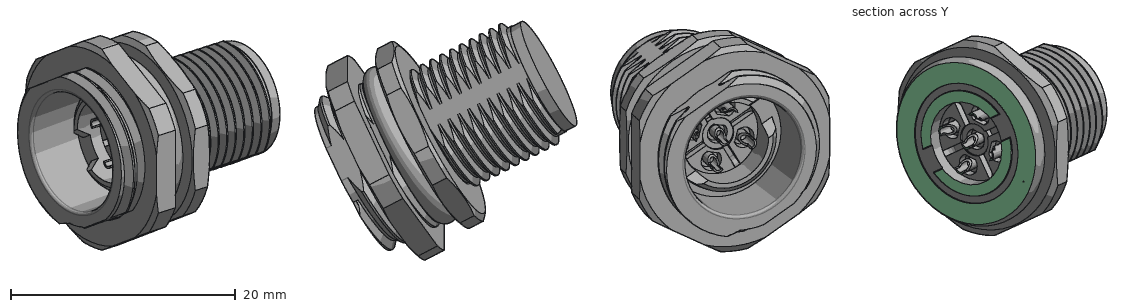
import cadquery as cq
import math


LENGTH = 20.0
NUT_START = 2.3
NUT_END = 4.5
SEAL_START = 5.0
SEAL_END = 7.0
FLANGE_END = 9.0
COLLAR_START = 19.0

REAR_ROOT_RADIUS = 6.88
REAR_CREST_RADIUS = 7.5
REAR_PITCH = 1.5
REAR_CREST_WIDTH = 0.2
REAR_ROOT_WIDTH = 0.25
REAR_CREST_STATION = 0.98
REAR_START_TURN = -1 + 92.3 / 360
REAR_END_TURN = 3.4
REAR_FLAT_DISTANCE = 6.68

FRONT_ROOT_RADIUS = 5.3
FRONT_CREST_RADIUS = 5.95
FRONT_PITCH = 1.0
FRONT_CREST_WIDTH = 0.15
FRONT_ROOT_WIDTH = 0.2
FRONT_CREST_STATION = 8.22
FRONT_START_TURN = 0
FRONT_END_TURN = 10 + 143.6 / 360
FRONT_FLAT_DISTANCE = 5.25
COLLAR_RADIUS = 5.25

FLAT_ANGLE = 120.0
THREAD_OVERLAP = 0.1
FLANK_OVERLAP = 0.02
THREAD_END_LEAN = 10.0
THREAD_END_TRIM = 0.92

NUT_ACROSS_FLATS = 18.0
NUT_CORNER_RADIUS = 9.75
NUT_FACE_RADIUS = 9.18
NUT_CHAMFER_DEPTH = 0.22
NUT_BORE_RADIUS = 6.85
FLANGE_ACROSS_FLATS = 17.0
FLANGE_CORNER_RADIUS = 9.0
FLANGE_FACE_RADIUS = 8.4
FLANGE_CHAMFER_DEPTH = 0.28

SEAL_SECTION_RADIUS = (SEAL_END - SEAL_START) / 2
SEAL_OUTER_RADIUS = 7.75

BORE_RADIUS = 5.52
BORE_EDGE_FILLET = 0.28
BORE_DEPTH = 5.4

RING_START = 4.0
RING_FACE_RADIUS = 4.25
RING_SHOULDER_RADIUS = 4.68
RING_SHOULDER_DEPTH = 0.32
RING_FOOT_RADIUS = 4.88
WELL_MOUTH_RADIUS = 3.82
WELL_FLOOR_RADIUS = 3.75
WELL_FLOOR = 6.6

NOTCH_ANGLE = 30.0
NOTCH_FLOOR_HALF_WIDTH = 1.1
NOTCH_WALL_DRAFT = 30.0

GROOVE_ANGLE = 30.0
GROOVE_COUNT = 4
GROOVE_WIDTH = 0.55
GROOVE_DEPTH = 0.75
RECESS_RADIUS = 1.48
RECESS_DEPTH = 0.2

CONTACT_CIRCLE_RADIUS = 2.52
CONTACT_ANGLES = (165.0, 75.0, -15.0, -105.0)
CENTRE_CONTACT_ANGLE = -105.0
CONTACT_RADIUS = 0.55
CONTACT_TIP = 4.8
CUP_RADIUS = 0.35
CUP_DEPTH = 2.2
CUP_POINT_ANGLE = 118.0
CUT_OFFSET = 0.18
CUT_LENGTH = 1.0
CUT_ANGLE = 50.0
POCKET_MOUTH_RADIUS = 0.95
POCKET_FLAT_DISTANCE = 0.75
POCKET_DEPTH = 0.8
POCKET_DRAFT = 6.0


def turned(profile):
    """Solid of revolution about Y from (radius, y) points."""
    return cq.Workplane("XY").polyline(profile).close().revolve(360, (0, 0, 0), (0, 1, 0))


def cylinder(radius, start, end):
    return turned([(0, start), (radius, start), (radius, end), (0, end)])


def block(along, across, start, end, centre):
    """Box centred at `centre` along X, symmetric across Z, between two Y stations."""
    return cq.Workplane("XY").box(along, end - start, across).translate((centre, (start + end) / 2, 0))


def turn_to(shape, angle):
    """Turn a shape about Y so that its +X side points at `angle`, from +X towards +Z."""
    return shape.rotate((0, 0, 0), (0, 1, 0), -angle)


def hexagon(across_flats, start, end):
    corner_diameter = across_flats / math.cos(math.radians(30))
    prism = cq.Workplane("XZ", origin=(0, start, 0)).polygon(6, corner_diameter).extrude(start - end)
    return turn_to(prism, 30)


def lean_back(root, crest, side):
    """Prism that trims a ridge end at angle 0 so that its tip falls short of its foot.

    `side` is the direction, +1 or -1 along Z, in which the ridge lies.
    """
    lean = math.radians(THREAD_END_LEAN)
    rise = crest * math.cos(lean) - root
    run = crest * math.sin(lean)
    overshoot = 1.5
    outer = root + overshoot * rise
    return (
        cq.Workplane("XZ")
        .polyline([
            (root, 0),
            (outer, side * overshoot * run),
            (outer + rise, 0),
            (outer, -side * rise),
        ])
        .close()
        .extrude(THREAD_END_TRIM / 2, both=True)
    )


def threaded_length(root, crest, pitch, crest_width, root_width,
                    crest_station, start_turn, end_turn, flat_distance, start, end):
    """Right-handed thread on a core, with two opposite flats, trimmed to `start`..`end`.

    The ridge runs between two turns counted from the crest at Y = `crest_station` on the +X side.
    """
    base_radius = flat_distance - THREAD_OVERLAP
    foot_radius = root - FLANK_OVERLAP
    crest_half = crest_width / 2
    flank_slope = (pitch - crest_width - root_width) / 2 / (crest - root)
    foot_half = crest_half + flank_slope * (crest - foot_radius)
    turns = end_turn - start_turn
    helix = cq.Wire.makeHelix(pitch, pitch * turns, root)
    ridge = (
        cq.Workplane("XZ")
        .polyline([
            (base_radius, -foot_half),
            (foot_radius, -foot_half),
            (crest, -crest_half),
            (crest, crest_half),
            (foot_radius, foot_half),
            (base_radius, foot_half),
        ])
        .close()
        .sweep(cq.Workplane(obj=helix), isFrenet=True)
        .rotate((0, 0, 0), (1, 0, 0), -90)
    )
    end_trim = turn_to(lean_back(root, crest, 1), -360 * turns).translate((0, pitch * turns, 0))
    ridge = ridge.cut(lean_back(root, crest, -1)).cut(end_trim)
    ridge = turn_to(ridge, -360 * start_turn).translate((0, crest_station + pitch * start_turn, 0))

    flat_sided = block(2 * flat_distance, 3 * crest, start, end, 0)
    core = turn_to(cylinder(root, start, end).intersect(flat_sided), FLAT_ANGLE)
    return core.union(ridge.intersect(turn_to(flat_sided, FLAT_ANGLE)))


def rear_thread():
    return threaded_length(
        REAR_ROOT_RADIUS, REAR_CREST_RADIUS, REAR_PITCH, REAR_CREST_WIDTH, REAR_ROOT_WIDTH,
        REAR_CREST_STATION, REAR_START_TURN, REAR_END_TURN,
        REAR_FLAT_DISTANCE, 0, SEAL_START,
    )


def front_thread():
    return threaded_length(
        FRONT_ROOT_RADIUS, FRONT_CREST_RADIUS, FRONT_PITCH, FRONT_CREST_WIDTH, FRONT_ROOT_WIDTH,
        FRONT_CREST_STATION, FRONT_START_TURN, FRONT_END_TURN,
        FRONT_FLAT_DISTANCE, SEAL_END, COLLAR_START,
    )


def nut():
    rounding = turned([
        (0, NUT_START),
        (NUT_FACE_RADIUS, NUT_START),
        (NUT_CORNER_RADIUS, NUT_START + NUT_CHAMFER_DEPTH),
        (NUT_CORNER_RADIUS, NUT_END),
        (0, NUT_END),
    ])
    body = hexagon(NUT_ACROSS_FLATS, NUT_START, NUT_END).intersect(rounding)
    return body.cut(cylinder(NUT_BORE_RADIUS, NUT_START, NUT_END))


def flange():
    rounding = turned([
        (0, SEAL_END),
        (FLANGE_FACE_RADIUS, SEAL_END),
        (FLANGE_CORNER_RADIUS, SEAL_END + FLANGE_CHAMFER_DEPTH),
        (FLANGE_CORNER_RADIUS, FLANGE_END - FLANGE_CHAMFER_DEPTH),
        (FLANGE_FACE_RADIUS, FLANGE_END),
        (0, FLANGE_END),
    ])
    return hexagon(FLANGE_ACROSS_FLATS, SEAL_END, FLANGE_END).intersect(rounding)


def seal():
    section_centre = SEAL_OUTER_RADIUS - SEAL_SECTION_RADIUS
    return (
        cq.Workplane("XY")
        .moveTo(0, SEAL_START)
        .lineTo(section_centre, SEAL_START)
        .threePointArc((SEAL_OUTER_RADIUS, (SEAL_START + SEAL_END) / 2), (section_centre, SEAL_END))
        .lineTo(0, SEAL_END)
        .close()
        .revolve(360, (0, 0, 0), (0, 1, 0))
    )


def bore():
    """Rear bore with a rounded mouth."""
    mouth_radius = BORE_RADIUS + BORE_EDGE_FILLET
    bend = BORE_EDGE_FILLET * (1 - math.sqrt(0.5))
    return (
        cq.Workplane("XY")
        .lineTo(mouth_radius, 0)
        .threePointArc((BORE_RADIUS + bend, bend), (BORE_RADIUS, BORE_EDGE_FILLET))
        .lineTo(BORE_RADIUS, BORE_DEPTH)
        .lineTo(0, BORE_DEPTH)
        .close()
        .revolve(360, (0, 0, 0), (0, 1, 0))
    )


def insulator_ring():
    ring = turned([
        (0, RING_START),
        (RING_FACE_RADIUS, RING_START),
        (RING_SHOULDER_RADIUS, RING_START + RING_SHOULDER_DEPTH),
        (RING_FOOT_RADIUS, BORE_DEPTH),
        (0, BORE_DEPTH),
    ])
    ring_height = BORE_DEPTH - RING_START
    notch_top_half_width = NOTCH_FLOOR_HALF_WIDTH + ring_height * math.tan(math.radians(NOTCH_WALL_DRAFT))
    notches = (
        cq.Workplane("YZ")
        .polyline([
            (BORE_DEPTH, -NOTCH_FLOOR_HALF_WIDTH),
            (RING_START, -notch_top_half_width),
            (RING_START, notch_top_half_width),
            (BORE_DEPTH, NOTCH_FLOOR_HALF_WIDTH),
        ])
        .close()
        .extrude(BORE_RADIUS, both=True)
    )
    return ring.cut(turn_to(notches, NOTCH_ANGLE))


def well():
    """Slightly tapered opening inside the ring, down to the face that carries the contacts."""
    return turned([
        (0, RING_START),
        (WELL_MOUTH_RADIUS, RING_START),
        (WELL_FLOOR_RADIUS, WELL_FLOOR),
        (0, WELL_FLOOR),
    ])


def groove(angle):
    """Radial groove that curves up to the well floor at its outer end."""
    run_out = WELL_FLOOR_RADIUS - GROOVE_DEPTH
    diagonal = GROOVE_DEPTH * math.sqrt(0.5)
    shape = (
        cq.Workplane("XY", origin=(0, 0, -GROOVE_WIDTH / 2))
        .moveTo(RECESS_RADIUS, WELL_FLOOR)
        .lineTo(WELL_FLOOR_RADIUS, WELL_FLOOR)
        .threePointArc((run_out + diagonal, WELL_FLOOR + diagonal), (run_out, WELL_FLOOR + GROOVE_DEPTH))
        .lineTo(RECESS_RADIUS, WELL_FLOOR + GROOVE_DEPTH)
        .close()
        .extrude(GROOVE_WIDTH)
    )
    inner_end = block(RECESS_RADIUS, GROOVE_WIDTH, WELL_FLOOR, WELL_FLOOR + GROOVE_DEPTH, RECESS_RADIUS)
    round_edge = cylinder(RECESS_RADIUS, WELL_FLOOR, WELL_FLOOR + GROOVE_DEPTH)
    return turn_to(shape.union(inner_end).cut(round_edge), angle)


def at_contacts(make_shape):
    """Place a shape, built on the Y axis with its flat side towards +X, at every contact."""
    placed = turn_to(make_shape(), CENTRE_CONTACT_ANGLE + 180)
    for angle in CONTACT_ANGLES:
        facing_centre = turn_to(make_shape(), 180).translate((CONTACT_CIRCLE_RADIUS, 0, 0))
        placed = placed.union(turn_to(facing_centre, angle))
    return placed


def pocket():
    flat_side = block(2 * POCKET_MOUTH_RADIUS, 4 * POCKET_MOUTH_RADIUS, WELL_FLOOR, WELL_FLOOR + POCKET_DEPTH,
                      POCKET_FLAT_DISTANCE - POCKET_MOUTH_RADIUS)
    floor_radius = POCKET_MOUTH_RADIUS - POCKET_DEPTH * math.tan(math.radians(POCKET_DRAFT))
    tapered = turned([
        (0, WELL_FLOOR),
        (POCKET_MOUTH_RADIUS, WELL_FLOOR),
        (floor_radius, WELL_FLOOR + POCKET_DEPTH),
        (0, WELL_FLOOR + POCKET_DEPTH),
    ])
    return tapered.intersect(flat_side)


def contact():
    cup_floor = CONTACT_TIP + CUP_DEPTH
    cup_point = cup_floor + CUP_RADIUS / math.tan(math.radians(CUP_POINT_ANGLE / 2))
    cup = turned([
        (0, CONTACT_TIP),
        (CUP_RADIUS, CONTACT_TIP),
        (CUP_RADIUS, cup_floor),
        (0, cup_point),
    ])
    cut_reach = 2 * CONTACT_RADIUS
    slope_depth = (cut_reach + CUT_OFFSET) * math.tan(math.radians(CUT_ANGLE))
    slope_start = CONTACT_TIP + CUT_LENGTH
    side_cut = (
        cq.Workplane("XY")
        .polyline([
            (-CUT_OFFSET, CONTACT_TIP),
            (cut_reach, CONTACT_TIP),
            (cut_reach, slope_start + slope_depth),
            (-CUT_OFFSET, slope_start),
        ])
        .close()
        .extrude(CONTACT_RADIUS, both=True)
    )
    pin = cylinder(CONTACT_RADIUS, CONTACT_TIP, WELL_FLOOR + POCKET_DEPTH)
    return pin.cut(cup).cut(side_cut)


shell = (
    rear_thread()
    .union(seal())
    .union(front_thread())
    .union(cylinder(COLLAR_RADIUS, COLLAR_START, LENGTH))
    .union(flange())
    .union(nut())
)

result = shell.cut(bore()).union(insulator_ring()).cut(well())
result = result.cut(cylinder(RECESS_RADIUS, WELL_FLOOR, WELL_FLOOR + RECESS_DEPTH))
for index in range(GROOVE_COUNT):
    result = result.cut(groove(GROOVE_ANGLE + index * 360 / GROOVE_COUNT))
result = result.cut(at_contacts(pocket)).union(at_contacts(contact))